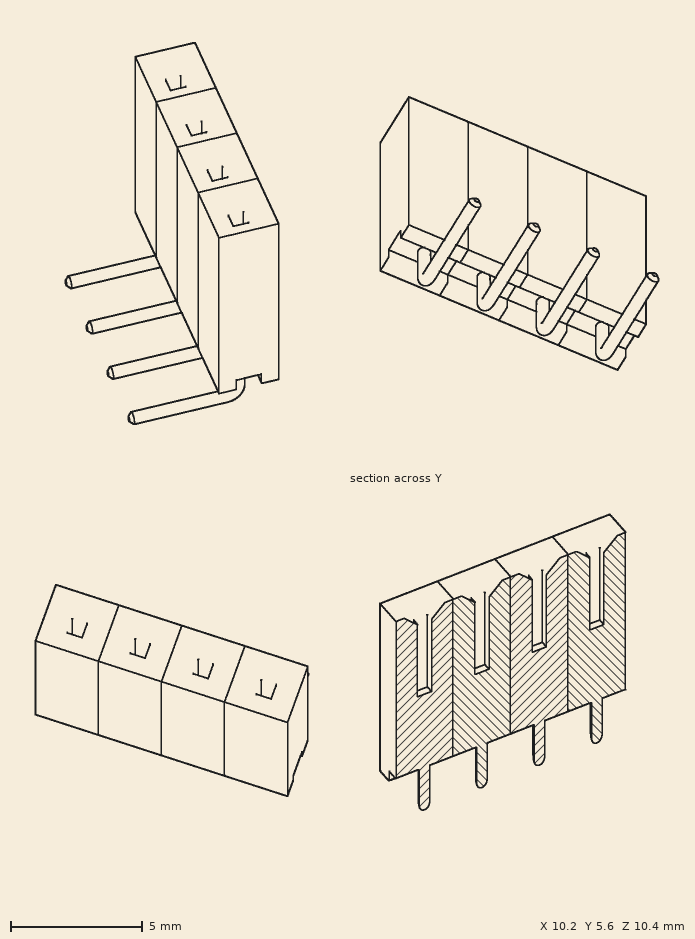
import cadquery as cq

contact_count = 4
row_length = 10.16
total_height = 10.35
total_depth = 5.6
pitch = row_length / contact_count

housing_depth = 2.4
housing_height = 8.51
housing_bottom = total_height - housing_height

channel_width = 1.0
channel_height = 0.51
channel_roof = housing_bottom + channel_height

mouth_width = 1.8
throat_width = 0.6
funnel_depth = (mouth_width - throat_width) / 2
throat_level = total_height - funnel_depth
hole_depth = housing_height / 2

edge_radius = 0.05

pin_diameter = 0.5
pin_radius = pin_diameter / 2
bend_radius = 0.5
tip_chamfer = 0.15
foot_level = pin_radius
bend_top = foot_level + bend_radius
pin_end = total_depth - housing_depth / 2


def centred_box(width, depth, bottom, top):
    """Box centred on the vertical axis, from level bottom to level top."""
    return cq.Workplane("XY", origin=(0, 0, bottom)).box(
        width, depth, top - bottom, centered=(True, True, False)
    )


def edges_within(width, depth, bottom, top):
    """Selector for edges centred in a box just larger than the given one."""
    x = width / 2 + edge_radius
    y = depth / 2 + edge_radius
    return cq.selectors.BoxSelector((-x, -y, bottom - edge_radius), (x, y, top + edge_radius))


def cut_channel(block):
    """Channel along X through the underside, with rounded lower edges."""
    channel = centred_box(pitch, channel_width, housing_bottom, channel_roof)
    lower_edges = edges_within(pitch, channel_width, housing_bottom, housing_bottom)
    return block.cut(channel).edges("|X").edges(lower_edges).fillet(edge_radius)


def cut_socket(block):
    """Square contact hole from the top with a rounded funnel as its lead-in."""
    hole = centred_box(throat_width, throat_width, total_height - hole_depth, total_height)
    funnel = (
        cq.Workplane("XY", origin=(0, 0, throat_level))
        .rect(throat_width, throat_width)
        .workplane(offset=funnel_depth)
        .rect(mouth_width, mouth_width)
        .loft(ruled=True)
    )
    funnel_edges = edges_within(mouth_width, mouth_width, throat_level, total_height)
    return block.cut(hole).cut(funnel).edges(funnel_edges).fillet(edge_radius)


def make_housing():
    """Housing block with its channel and socket."""
    block = centred_box(pitch, housing_depth, housing_bottom, total_height)
    return cut_socket(cut_channel(block))


def make_pin():
    """Round pin that drops from the channel roof, bends towards -Y and ends in a chamfer."""
    path = (
        cq.Workplane("YZ")
        .moveTo(0, channel_roof)
        .lineTo(0, bend_top)
        .radiusArc((-bend_radius, foot_level), bend_radius)
        .lineTo(-pin_end, foot_level)
    )
    pin = cq.Workplane("XY", origin=(0, 0, channel_roof)).circle(pin_radius).sweep(path)
    return pin.faces("<Y").chamfer(tip_chamfer)


contact = make_housing().union(make_pin())


def place_contact(index):
    """Copy of the contact at its place in the row, which is centred on X = 0."""
    x = (index - (contact_count - 1) / 2) * pitch
    return contact.translate((x, 0, 0))


contacts = [place_contact(index).val() for index in range(contact_count)]

result = cq.Compound.makeCompound(contacts)